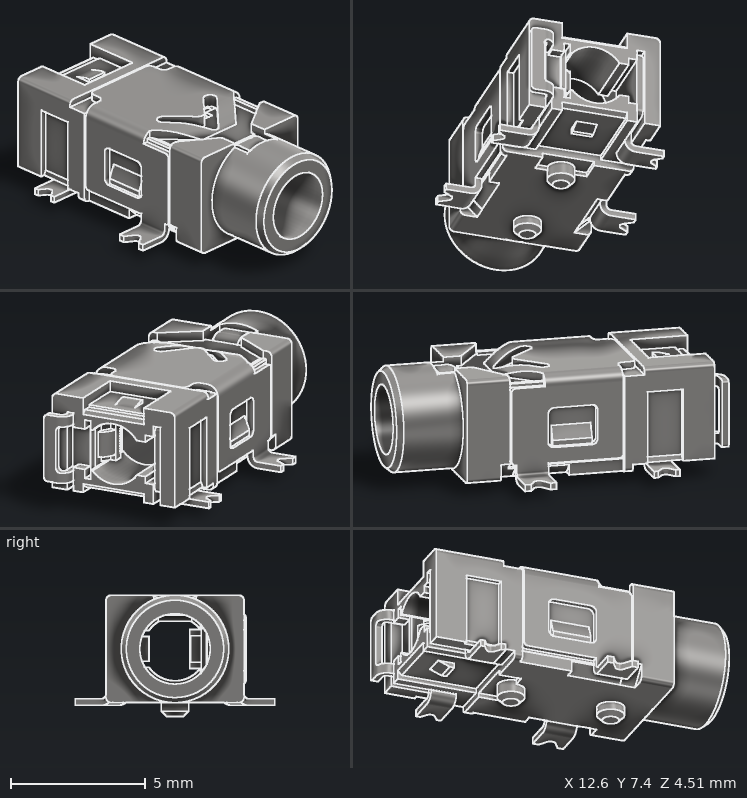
import cadquery as cq
import math


half_height = 2.0
half_width = 2.56
barrel_end = 12.02
rear_block_end = 2.7
core_start = 3.45
front_block_start = 7.87
front_block_end = 9.51
block_round = 0.2

sheet = 0.25
cover_thickness = 0.28
cover_start = 3.51
cover_end = 7.8
cover_bottom = -1.4
cover_round = 0.46
cover_window = (4.49, 6.4)
plate_level = 1.62
core_top = half_height - cover_thickness
core_half_width = half_width - cover_thickness
skirt_half_width = 2.31
skirt_top = -1.52

rear_bottom = -1.71
rear_bottom_end = 3.14
foot_slot_top = -1.83
peg_centers = (4.02, 8.01)
rear_bore_radius = 1.18
bore_radius = 1.3
rear_cavity_depth = 2.51
frame_opening_depth = 0.44
blade_outer = 1.17

strip_inner = 1.67
strip_outer = strip_inner + sheet
strip_end = rear_cavity_depth + 0.13
leg_bottom = -2.1
inner_bend = 0.18

slope_start = 6.73
slope_end = 7.95
notch_half = 0.79
notch_start = 9.0
notch_end = 10.18
plate_half = 2.01
shoulder_start = 6.51
shoulder_level = 1.55
rim_level = 1.7
chevron_apex = (7.55, 0)
chevron_end = (6.26, 1.23)
above = half_height + 0.63


def box(x, y, z):
    """Box from (low, high) ranges along each axis."""
    size = [high - low for low, high in (x, y, z)]
    return cq.Workplane().box(*size, centered=False).translate((x[0], y[0], z[0]))


def plan(points, z):
    """Plan outline in XY raised over a Z range."""
    outline = cq.Workplane("XY").polyline(points).close()
    return outline.extrude(z[1] - z[0]).translate((0, 0, z[0]))


def side_profile(points, y):
    """Outline in XZ swept over a Y range."""
    outline = cq.Workplane("XZ").polyline(points).close()
    return outline.extrude(y[0] - y[1]).translate((0, y[0], 0))


def section(points, x):
    """Outline in YZ swept over an X range."""
    outline = cq.Workplane("YZ").polyline(points).close()
    return outline.extrude(x[1] - x[0]).translate((x[0], 0, 0))


def both_sides(shape):
    """The shape together with its mirror image across the XZ plane."""
    return shape.union(shape.mirror("XZ"))


def symmetric(half):
    """Range centred on zero."""
    return (-half, half)


def bend_middle(center, radius):
    """Middle point of a quarter bend on the low side of its centre in both directions."""
    offset = radius * math.sqrt(0.5)
    return (center[0] - offset, center[1] - offset)


def make_housing():
    full_y = symmetric(half_width)
    rear = box((0, rear_block_end), full_y, (rear_bottom, half_height))
    rear = rear.edges("|X and >Z").fillet(block_round)
    foot = box((rear_bottom_end, core_start), full_y, (-half_height, 0))
    foot = foot.edges("|X and <Z").fillet(block_round)
    neck = box((rear_block_end, core_start), full_y, (rear_bottom, core_top))
    core = box((core_start, front_block_start), symmetric(core_half_width), (-half_height, core_top))
    skirt_y = symmetric(skirt_half_width)
    skirt = box((core_start, front_block_start), skirt_y, (-half_height, skirt_top))
    front = box((front_block_start, front_block_end), full_y, symmetric(half_height))
    front = front.edges("|X").fillet(block_round)
    barrel_length = barrel_end - front_block_start
    barrel = cq.Workplane("YZ", origin=(front_block_start, 0, 0)).circle(half_height).extrude(barrel_length)
    barrel = barrel.faces(">X").chamfer(0.23, 0.19)
    housing = rear
    for piece in (neck, foot, core, skirt, front, barrel):
        housing = housing.union(piece)
    return housing


def cut_side_recesses(housing):
    """Shallow panel recess on each rear flank, bevelled at its lower end and open at the bottom edge."""
    floor = 2.32
    top = 1.05
    bevel_start = -1.52
    bevel_floor = floor + 0.08
    recess = section(
        [(floor, top), (half_width, top), (half_width, rear_bottom), (bevel_floor, rear_bottom),
         (floor, bevel_start)],
        (1.2, 2.59),
    )
    return housing.cut(both_sides(recess))


def cut_lower_bevels(housing):
    """45 degree bevels along the bottom edges around the front legs."""
    def bevel(y, z, x):
        return section([(y, z), (y, -half_height), (y - half_height - z, -half_height)], x)

    skirt_bevel = bevel(skirt_half_width, -1.6, (5.52, front_block_start))
    block_bevel = bevel(half_width, -1.33, (7.6, 8.21))
    return housing.cut(both_sides(skirt_bevel)).cut(both_sides(block_bevel))


def make_end_pocket(sill, floor, catch_height, length):
    """Rear pocket with the given sill outline and a ramped catch on its floor, opening upward."""
    outside = half_height + 0.13
    outline = sill + [(length, floor), (length, outside), (0, outside)]
    pocket = side_profile(outline, symmetric(1.27))
    catch_top = floor + catch_height
    catch = side_profile([(0.94, floor), (1.4, catch_top), (1.6, catch_top), (1.6, floor)], symmetric(0.4))
    return pocket.cut(catch)


def cut_rear_cavity(housing):
    """Bore and the contact openings of the rear face."""
    x = (0, rear_cavity_depth)
    bore = cq.Workplane("YZ").circle(rear_bore_radius).extrude(barrel_end)
    wide_bore = cq.Workplane("YZ", origin=(rear_cavity_depth, 0, 0)).circle(bore_radius).extrude(barrel_end)
    top_pocket = make_end_pocket([(0, 1.35), (0.16, 1.49), (0.49, 1.49), (0.49, 1.58)], 1.58, 0.11, 2.2)
    bottom_pocket = make_end_pocket([(0, 1.37), (0.16, 1.53)], 1.53, 0.18, rear_bottom_end)
    slot_z = (rear_bottom, 1.34)
    openings = [
        bore,
        wide_bore,
        top_pocket,
        bottom_pocket.mirror("XY"),
        box(x, (-1.33, 0), symmetric(0.68)),
        box(x, (-1.66, -1.33), symmetric(0.94)),
        box(x, (-1.95, -1.66), slot_z),
        box(x, (0, blade_outer), symmetric(0.79)),
        box((0, frame_opening_depth), (blade_outer, strip_inner), symmetric(0.79)),
        box(x, (strip_inner, strip_outer), slot_z),
        box(x, (0.95, 1.19), symmetric(1.14)),
        box((rear_bottom_end, peg_centers[0]), symmetric(1.0), (-half_height, foot_slot_top)),
    ]
    for opening in openings:
        housing = housing.cut(opening)
    return housing


def add_pegs(housing):
    radius = 0.51
    bottom = -2.51
    for x in peg_centers:
        peg = cq.Workplane("XY", origin=(x, 0, bottom)).circle(radius).extrude(foot_slot_top - bottom)
        housing = housing.union(peg.faces("<Z").chamfer(0.2))
    return housing


def make_cover():
    full_y = symmetric(half_width)
    cover = box((cover_start, cover_end), full_y, (cover_bottom, half_height))
    cover = cover.edges("|X and >Z").fillet(cover_round)
    cover = cover.edges("|Y and <Z").fillet(0.15)
    core = box((cover_start, cover_end), symmetric(core_half_width), (cover_bottom, core_top))
    tongue_round = 0.25
    tongue_half = 1.61
    tongue = box((2.76, cover_start + 0.13), symmetric(tongue_half), (core_top, half_height))
    tongue = tongue.edges("|Z and <X").fillet(tongue_round)
    root_x = cover_start - tongue_round
    root_y = tongue_half + tongue_round
    root = box((root_x, cover_start), (tongue_half, root_y), (core_top, half_height))
    scoop = cq.Workplane("XY", origin=(root_x, root_y, core_top))
    root = root.cut(scoop.circle(tongue_round).extrude(cover_thickness))
    cover = cover.cut(core).union(tongue).union(both_sides(root))
    corner_round = 0.15
    corner_x = cover_end - corner_round
    corner_z = shoulder_level - corner_round
    corner = box((corner_x, cover_end), (core_half_width, half_width), (corner_z, shoulder_level))
    rounding = cq.Workplane("XZ", origin=(corner_x, half_width, corner_z))
    rounding = rounding.circle(corner_round).extrude(cover_thickness)
    cover = cover.cut(both_sides(corner.cut(rounding)))
    window_z = (-0.82, 0.72)
    window = box(cover_window, (core_half_width, half_width), window_z).edges("|Y").fillet(0.24)
    return cover.cut(both_sides(window))


def make_window_catch():
    """Wedge that stands on the core inside each side window."""
    root = core_half_width - 0.06
    tip = core_half_width + 0.2
    outline = [(root, -0.04), (core_half_width, -0.04), (tip, -0.56), (tip, -0.78), (root, -0.78)]
    return both_sides(section(outline, (4.69, 6.21)))


def cut_front_step(part):
    """Lower the cover ahead of the bend, between the V shaped flanks of the front block."""
    v_start = 8.84
    bend_end = (7.48, 1.82)
    slope = (
        cq.Workplane("XZ")
        .moveTo(slope_start, half_height)
        .threePointArc((7.1, 1.95), bend_end)
        .lineTo(slope_end, plate_level)
        .lineTo(slope_end, above)
        .lineTo(slope_start, above)
        .close()
        .extrude(plate_half, both=True)
    )
    tongue = plan([(chevron_apex[0], 0), chevron_end, (chevron_end[0], -chevron_end[1])], (0, above))
    slope = slope.cut(tongue)
    wing = plan([(slope_start, plate_half), (slope_end, 0.89), (slope_end, plate_half)], (plate_level, above))
    step = plan(
        [(slope_end, 0), (slope_end, plate_half), (front_block_start, plate_half), (front_block_start, 2.21),
         (v_start, notch_half), (notch_start, notch_half), (notch_start, 0)],
        (plate_level, above),
    )
    rim_start = plate_half + 0.19
    rim_end = 2.36
    rim_section = section(
        [(plate_half, above), (plate_half, plate_level), (rim_start, rim_level), (rim_end, rim_level),
         (rim_end, shoulder_level), (half_width, shoulder_level), (half_width, above)],
        (shoulder_start, front_block_start),
    )
    rim_plan = plan(
        [(slope_start, plate_half), (shoulder_start, plate_half + 0.23), (shoulder_start, half_width),
         (front_block_start, half_width), (front_block_start, plate_half)],
        (0, above),
    )
    part = part.cut(slope)
    for cut in (wing, step, rim_section.intersect(rim_plan)):
        part = part.cut(both_sides(cut))
    return part


def cut_latch_notch(part):
    """Notch across the front block and barrel, holding the tab at the end of the cover."""
    floor = 1.44
    tab_top = 1.78
    tab_flat = 9.61
    tab_root = 0.19
    notch = box((notch_start, notch_end), symmetric(notch_half), (floor, above))
    bore_opening = box((notch_start, tab_flat), symmetric(notch_half), (0, floor))
    part = part.cut(notch).cut(bore_opening)
    rise = tab_top - floor
    run = tab_flat - notch_start
    diagonal = math.sqrt(0.5)
    tab_end = 10.04
    arc_middle = (tab_flat - run * diagonal, floor + rise * diagonal)
    tab = (
        cq.Workplane("XZ")
        .moveTo(notch_start, floor - tab_root)
        .lineTo(notch_start, floor)
        .threePointArc(arc_middle, (tab_flat, tab_top))
        .lineTo(tab_end, tab_top)
        .lineTo(tab_end, floor - tab_root)
        .close()
        .extrude(0.51, both=True)
    )
    return part.union(tab)


def cut_chevron(part):
    """V-shaped slot around the cover tongue, with round ends, and the stepped well beneath it."""
    radius = 0.25
    floor = 1.5
    well = (1.37, floor)
    well_start = 5.9
    run = chevron_end[0] - chevron_apex[0]
    length = math.hypot(run, chevron_end[1])
    angle = math.atan2(chevron_end[1], run)
    middle = (chevron_apex[0] + run / 2, chevron_end[1] / 2, floor)
    arm = cq.Workplane("XY", origin=middle).slot2D(length + 2 * radius, 2 * radius, math.degrees(angle))
    slot = both_sides(arm.extrude(above - floor))
    tongue_tip = (chevron_apex[0] - radius / math.sin(angle), 0, above)
    slot = slot.edges("|Z").edges(cq.NearestToPointSelector(tongue_tip)).fillet(radius)
    wide_well = box((well_start, 6.31), symmetric(1.47), well)
    long_well = box((well_start, 6.64), symmetric(0.95), well)
    return part.cut(slot).cut(wide_well).cut(long_well)


def make_leg(x, sheet_outer, top, tip, notch_width, notch_depth):
    """Strip running down the housing, bent outward and ending in a rounded V notch (+Y side)."""
    outer_bend = inner_bend + sheet
    bend_y = sheet_outer + inner_bend
    bend_z = leg_bottom + outer_bend
    bend = (bend_y, bend_z)
    leg = (
        cq.Workplane("YZ", origin=(x[0], 0, 0))
        .moveTo(sheet_outer, top)
        .lineTo(sheet_outer, bend_z)
        .threePointArc(bend_middle(bend, inner_bend), (bend_y, bend_z - inner_bend))
        .lineTo(tip, bend_z - inner_bend)
        .lineTo(tip, leg_bottom)
        .lineTo(bend_y, leg_bottom)
        .threePointArc(bend_middle(bend, outer_bend), (bend_y - outer_bend, bend_z))
        .lineTo(sheet_outer - sheet, top)
        .close()
        .extrude(x[1] - x[0])
    )
    middle = (x[0] + x[1]) / 2
    half = notch_width / 2
    flat = half * 0.5
    shoulder_y = tip - notch_depth * 0.7
    notch = (
        cq.Workplane("XY", origin=(middle, 0, leg_bottom))
        .moveTo(-half, tip)
        .lineTo(-flat, shoulder_y)
        .threePointArc((0, tip - notch_depth), (flat, shoulder_y))
        .lineTo(half, tip)
        .close()
        .extrude(sheet)
    )
    return leg.cut(notch)


def make_legs():
    rear = make_leg((1.5, 2.51), strip_outer, -1.25, 3.2, 0.67, 0.34)
    front = make_leg((6.39, 7.6), half_width, cover_bottom + 0.13, 3.7, 0.75, 0.43)
    return both_sides(rear).union(both_sides(front))


def make_strips():
    """Flat contact strips in the side slots; the +Y one leaves the rear as a hooked frame."""
    half = 1.3
    window_half = 0.9
    plain = box((0.1, strip_end), (-strip_outer, -strip_inner), symmetric(half))
    plain = plain.edges("|Y and <X").fillet(0.24)
    hook_back = -0.53
    outer_bend = sheet + inner_bend
    hook_tip = 2.64
    bend_x = hook_back + outer_bend
    bend_y = strip_inner + outer_bend
    bend = (bend_x, bend_y)
    hook = (
        cq.Workplane("XY", origin=(0, 0, -half))
        .moveTo(strip_end, strip_inner)
        .lineTo(bend_x, strip_inner)
        .threePointArc(bend_middle(bend, outer_bend), (hook_back, bend_y))
        .lineTo(hook_back, hook_tip)
        .lineTo(hook_back + sheet, hook_tip)
        .lineTo(hook_back + sheet, bend_y)
        .threePointArc(bend_middle(bend, inner_bend), (bend_x, strip_outer))
        .lineTo(strip_end, strip_outer)
        .close()
        .extrude(2 * half)
    )
    hook = hook.edges("|X and >Y").fillet(0.15)
    window = box((hook_back, frame_opening_depth), (strip_inner, 2.13), symmetric(window_half))
    window = window.edges("|X and >Y").fillet(0.19)
    return plain.union(hook.cut(window))


def make_spring(x, root, crest, half):
    """Bowed contact reaching into the bore, Y from root to crest."""
    middle = (x[0] + x[1]) / 2
    bow = cq.Workplane("XY", origin=(0, 0, -half)).moveTo(x[0], root)
    return bow.threePointArc((middle, crest), (x[1], root)).close().extrude(2 * half)


def make_springs():
    wall = 1.38
    left_start = 0.63
    left_crest = 0.54
    left = make_spring((left_start, 2.13), blade_outer, left_crest, 0.49)
    wings = plan(
        [(left_start, blade_outer), (1.25, 0.77), (1.25, left_crest), (1.63, left_crest), (1.63, blade_outer)],
        symmetric(0.73),
    )
    blade = box((frame_opening_depth, strip_end), (0.98, blade_outer), symmetric(1.12))
    right = make_spring((4.77, 6.28), -wall, -0.95, 0.46)
    top = make_spring((5.77, 7.28), wall, 1.02, 0.63).rotate((0, 0, 0), (1, 0, 0), 90)
    springs = left
    for piece in (wings, blade, right, top):
        springs = springs.union(piece)
    return springs


housing = cut_lower_bevels(cut_side_recesses(make_housing()))
housing = add_pegs(cut_rear_cavity(housing))
shell = housing.union(make_cover()).union(make_window_catch())
shell = cut_chevron(cut_latch_notch(cut_front_step(shell)))
result = shell.union(make_legs()).union(make_strips()).union(make_springs())